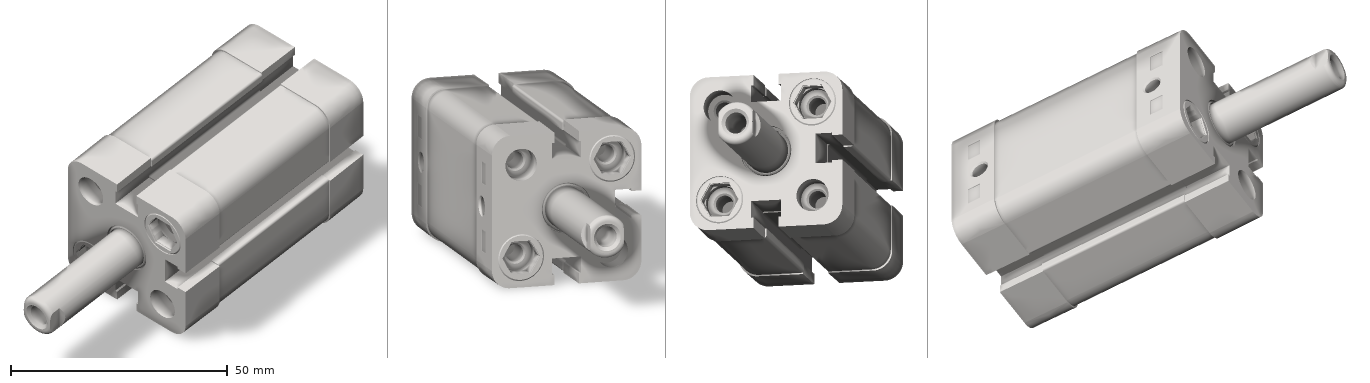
import cadquery as cq
import math


TOTAL_LENGTH = 93.6
ROD_REACH = 31.45
FRONT_CAP_LENGTH = 11.8
REAR_CAP_LENGTH = 11.7
BODY_LENGTH = TOTAL_LENGTH - ROD_REACH
BARREL_START = FRONT_CAP_LENGTH
BARREL_END = BODY_LENGTH - REAR_CAP_LENGTH

CAP_WIDTH = 36.3
BARREL_WIDTH = 35.7
CORNER_RADIUS = 4.5
CAP_DRAFT_ANGLE = 0.55

SLOT_WIDTH = 7.0
SLOT_LIP = 15.6
CAP_NECK_WIDTH = 5.9
CAP_SLOT_FLOOR = 11.7
BARREL_NECK_WIDTH = 5.3
BARREL_SLOT_FLOOR = 12.0
NECK_ROUNDING = 0.6
SLOT_CORNER_RADIUS = 0.5
SLOT_OVERCUT = 0.9
SLOT_ANGLES = (0, 90, 180)

ROD_DIAMETER = 10.0
ROD_TIP_RADIUS = 1.2
FLATS_WIDTH = 8.05
FLATS_LENGTH = 3.3
ROD_BORE_DIAMETER = 5.0
ROD_BORE_DEPTH = 15.0
ROD_SINK_DIAMETER = 6.5
DRILL_TIP_ANGLE = 118.0

SEAL_GROOVE_DIAMETER = 12.0
SEAL_RING_DIAMETER = 11.4
SEAL_RING_RIM_DIAMETER = 10.9
SEAL_OPENING_DIAMETER = 10.5
SEAL_DEPTH = 0.9

SCREW_SPACING = 22.0
SCREW_BORE_DIAMETER = 7.6
SCREW_BORE_DEPTH = 4.7
THREAD_MOUTH_DIAMETER = 5.0
THREAD_DIAMETER = 4.1
SOCKET_MOUTH_CORNERS = 9.2
SOCKET_MOUTH_DEPTH = 0.4
SOCKET_CORNERS = 8.8
SOCKET_BORE_DIAMETER = 7.8
SOCKET_DEPTH = 2.8
HEAD_DIAMETER = 11.1
HEAD_RIM_DIAMETER = 10.5

PORT_MOUTH_DIAMETER = 5.0
PORT_DIAMETER = 4.1
PORT_FLOOR = 9.9
PORT_CORE_DIAMETER = 20.0
PORT_CORE_INSET = 5.6
FRONT_PORT_Y = 7.7
REAR_PORT_Y = 54.7
LABEL_LENGTH = 3.3
LABEL_HEIGHT = 5.15
LABEL_DEPTH = 0.2
LABEL_OFFSET_Z = 8.05
FRONT_LABEL_Y = 6.4
REAR_LABEL_Y = 56.1


def disc(diameter, start, end):
    """Cylinder about the Y axis from Y = start to Y = end."""
    return cq.Workplane("XZ", origin=(0, start, 0)).circle(diameter / 2).extrude(start - end)


def turned(points):
    """Solid of revolution about the Y axis from (radius, Y) points."""
    return cq.Workplane("XY").polyline(points).close().revolve(360, (0, 0, 0), (0, 1, 0))


def countersink(mouth_diameter, bore_diameter, start):
    """45 degree cone narrowing from the mouth to the bore, going towards +Y."""
    mouth = mouth_diameter / 2
    bore = bore_diameter / 2
    return turned([(0, start), (mouth, start), (bore, start + mouth - bore), (0, start + mouth - bore)])


def t_slot(neck_width, floor, width, start, end):
    """T-slot opening upwards, cut a little above the body's top face."""
    top = width / 2 + SLOT_OVERCUT
    neck = neck_width / 2
    wide = SLOT_WIDTH / 2
    outline = [
        (-wide, floor),
        (wide, floor),
        (wide, SLOT_LIP),
        (neck, SLOT_LIP),
        (neck, top),
        (-neck, top),
        (-neck, SLOT_LIP),
        (-wide, SLOT_LIP),
    ]
    return cq.Workplane("XZ", origin=(0, start, 0)).polyline(outline).close().extrude(start - end)


def rounded_block(width, start, end, draft=0):
    """Square block with rounded corners, narrowing from Y = start to Y = end by the draft angle."""
    outline = cq.Sketch().rect(width, width).vertices().fillet(CORNER_RADIUS)
    return cq.Workplane("XZ", origin=(0, start, 0)).placeSketch(outline).extrude(start - end, taper=draft)


def cut_slots(block, slot):
    for angle in SLOT_ANGLES:
        block = block.cut(slot.rotate((0, 0, 0), (0, 1, 0), angle))
    return block


def make_cap_block(inner_end, outer_end):
    """Slotted block that narrows from the barrel side to its outer end."""
    slot = t_slot(CAP_NECK_WIDTH, CAP_SLOT_FLOOR, CAP_WIDTH, inner_end, outer_end)
    return cut_slots(rounded_block(CAP_WIDTH, inner_end, outer_end, CAP_DRAFT_ANGLE), slot)


def air_port(y):
    """Port drilled from the -X face down to a floor, around a round core on the axis."""
    face = CAP_WIDTH / 2
    mouth = PORT_MOUTH_DIAMETER / 2
    bore = PORT_DIAMETER / 2
    outline = [
        (PORT_FLOOR, 0),
        (face, 0),
        (face, mouth),
        (face - mouth + bore, bore),
        (PORT_FLOOR, bore),
    ]
    port = cq.Workplane("XY").polyline([(-x, r) for x, r in outline]).close()
    port = port.revolve(360, (0, 0, 0), (1, 0, 0)).translate((0, y, 0))
    return port.cut(disc(PORT_CORE_DIAMETER, PORT_CORE_INSET, BODY_LENGTH - PORT_CORE_INSET))


def label_recesses(y):
    """Two shallow rectangular recesses, above and below the port."""
    return (
        cq.Workplane("YZ", origin=(-CAP_WIDTH / 2, 0, 0))
        .pushPoints([(y, LABEL_OFFSET_Z), (y, -LABEL_OFFSET_Z)])
        .rect(LABEL_LENGTH, LABEL_HEIGHT)
        .extrude(LABEL_DEPTH)
    )


def screw_bore():
    """Stepped bore on the Y axis, narrowing to a thread that runs through the cap."""
    return (
        disc(SCREW_BORE_DIAMETER, 0, SCREW_BORE_DEPTH)
        .union(countersink(THREAD_MOUTH_DIAMETER, THREAD_DIAMETER, SCREW_BORE_DEPTH))
        .union(disc(THREAD_DIAMETER, SCREW_BORE_DEPTH, FRONT_CAP_LENGTH))
    )


def screw_head():
    """Hexagon socket and the V-groove that outlines the head, on the Y axis."""
    mouth = cq.Workplane("XZ").polygon(6, SOCKET_MOUTH_CORNERS).extrude(-SOCKET_MOUTH_DEPTH)
    socket = cq.Workplane("XZ").polygon(6, SOCKET_CORNERS).extrude(-SOCKET_DEPTH).union(mouth)
    socket = socket.union(disc(SOCKET_BORE_DIAMETER, 0, SCREW_BORE_DEPTH))
    outer = HEAD_DIAMETER / 2
    rim = HEAD_RIM_DIAMETER / 2
    groove = turned([(rim, 0), (outer, 0), (outer, outer - rim)])
    return socket.union(groove)


def rod_seal():
    """Groove around a bevelled seal ring, and the clearance between that ring and the rod."""
    groove = SEAL_GROOVE_DIAMETER / 2
    ring = SEAL_RING_DIAMETER / 2
    rim = SEAL_RING_RIM_DIAMETER / 2
    outline = [(rim, 0), (groove, 0), (groove, SEAL_DEPTH), (ring, SEAL_DEPTH), (ring, ring - rim)]
    return turned(outline).union(disc(SEAL_OPENING_DIAMETER, 0, SEAL_DEPTH))


def make_front_cap():
    """Cap with four stepped corner bores, two of them in socket heads, and the rod opening."""
    cap = make_cap_block(FRONT_CAP_LENGTH, 0)
    offset = SCREW_SPACING / 2
    for side_x in (-1, 1):
        for side_z in (-1, 1):
            place = (side_x * offset, 0, side_z * offset)
            cap = cap.cut(screw_bore().translate(place))
            if side_x == side_z:
                cap = cap.cut(screw_head().translate(place))
    cap = cap.cut(disc(ROD_DIAMETER, 0, FRONT_CAP_LENGTH))
    cap = cap.cut(rod_seal())
    cap = cap.cut(air_port(FRONT_PORT_Y))
    return cap.cut(label_recesses(FRONT_LABEL_Y))


def round_edge(body, point, radius):
    """Fillet the one edge whose middle lies nearest to the point."""
    return body.edges(cq.selectors.NearestToPointSelector(point)).fillet(radius)


def make_barrel():
    """Extruded profile with rounded T-slots."""
    slot = t_slot(BARREL_NECK_WIDTH, BARREL_SLOT_FLOOR, BARREL_WIDTH, BARREL_START, BARREL_END)
    middle = (BARREL_START + BARREL_END) / 2
    wide = SLOT_WIDTH / 2
    inner_corners = [(x, z) for x in (-wide, wide) for z in (BARREL_SLOT_FLOOR, SLOT_LIP)]
    for x, z in inner_corners:
        slot = round_edge(slot, (x, middle, z), SLOT_CORNER_RADIUS)
    barrel = cut_slots(rounded_block(BARREL_WIDTH, BARREL_START, BARREL_END), slot)

    face = BARREL_WIDTH / 2
    neck = BARREL_NECK_WIDTH / 2
    neck_edges = [(-neck, face), (neck, face), (face, neck), (face, -neck), (neck, -face), (-neck, -face)]
    for x, z in neck_edges:
        barrel = round_edge(barrel, (x, middle, z), NECK_ROUNDING)
    return barrel


def make_rear_cap():
    """Cap that closes the barrel at its +Y end."""
    cap = make_cap_block(BARREL_END, BODY_LENGTH)
    cap = cap.cut(air_port(REAR_PORT_Y))
    return cap.cut(label_recesses(REAR_LABEL_Y))


def make_rod():
    """Rod with a rounded tip, two wrench flats and a countersunk blind bore."""
    tip = -ROD_REACH
    radius = ROD_DIAMETER / 2
    rod = disc(ROD_DIAMETER, tip, FRONT_CAP_LENGTH).faces("<Y").edges().fillet(ROD_TIP_RADIUS)

    flat = FLATS_WIDTH / 2
    outline = [
        (flat, tip),
        (radius, tip),
        (radius, tip + FLATS_LENGTH + radius - flat),
        (flat, tip + FLATS_LENGTH),
    ]
    cutter = cq.Workplane("XY").polyline(outline).close().extrude(radius, both=True)
    rod = rod.cut(cutter).cut(cutter.mirror("YZ"))

    bore = ROD_BORE_DIAMETER / 2
    bore_end = tip + ROD_BORE_DEPTH
    drill_tip = bore / math.tan(math.radians(DRILL_TIP_ANGLE / 2))
    rod = rod.cut(turned([(0, tip), (bore, tip), (bore, bore_end), (0, bore_end + drill_tip)]))
    return rod.cut(countersink(ROD_SINK_DIAMETER, ROD_BORE_DIAMETER, tip))


front_cap = make_front_cap()
barrel = make_barrel()
rear_cap = make_rear_cap()
rod = make_rod()

result = cq.Compound.makeCompound([front_cap.val(), barrel.val(), rear_cap.val(), rod.val()])